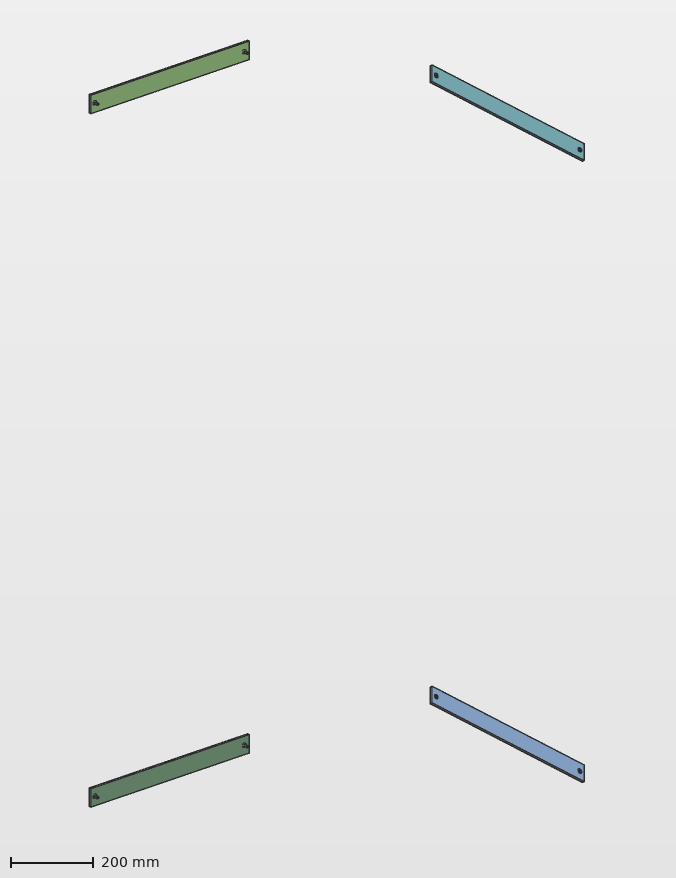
import cadquery as cq

TOTAL_DEPTH = 16.0
RAIL_LENGTH = 492.0
TOTAL_HEIGHT = 1899.0

RAIL_HEIGHT = 50.0
RAIL_THICKNESS = 6.6

SLEEVE_DIAMETER = 6.0
BORE_DIAMETER = 4.0
COUNTERBORE_DIAMETER = 12.0
COUNTERBORE_DEPTH = 4.0
END_DISTANCE = 14.2

SLEEVE_Y = RAIL_LENGTH / 2 - END_DISTANCE
RAIL_Z = (TOTAL_HEIGHT - RAIL_HEIGHT) / 2


def end_cylinders(diameter, depth):
    """Two cylinders at the sleeve positions, running from the front face (X = 0) along +X."""
    centres = cq.Workplane("YZ").pushPoints([(-SLEEVE_Y, 0), (SLEEVE_Y, 0)])
    return centres.circle(diameter / 2).extrude(depth)


def make_rail(center_z):
    """Flat rail with a counterbored front face and a through-bored sleeve behind each end."""
    plate = cq.Workplane("YZ").rect(RAIL_LENGTH, RAIL_HEIGHT).extrude(RAIL_THICKNESS)
    rail = plate.union(end_cylinders(SLEEVE_DIAMETER, TOTAL_DEPTH))
    rail = rail.cut(end_cylinders(BORE_DIAMETER, TOTAL_DEPTH))
    rail = rail.cut(end_cylinders(COUNTERBORE_DIAMETER, COUNTERBORE_DEPTH))
    return rail.translate((0, 0, center_z))


rails = [make_rail(center_z) for center_z in (-RAIL_Z, RAIL_Z)]

result = cq.Compound.makeCompound([rail.val() for rail in rails])